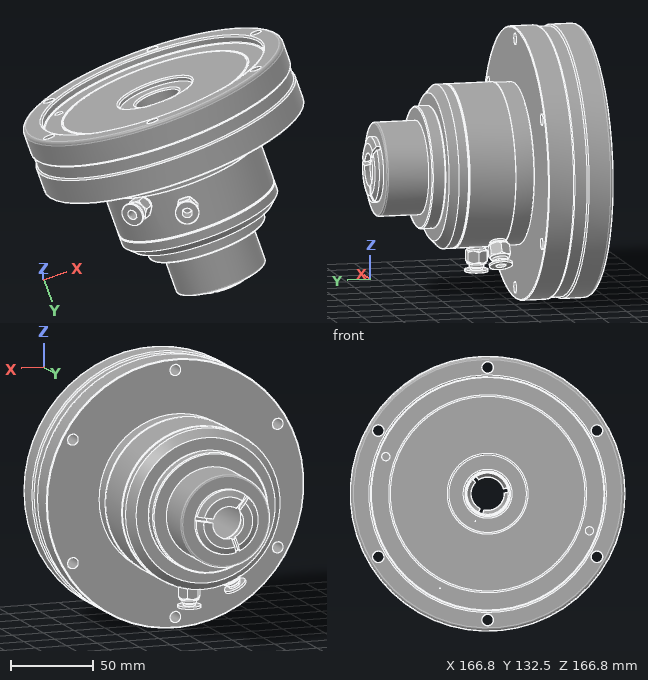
import cadquery as cq
import math


flange_r = 83.4
flange_rear_y = 40.9
flange_front_fillet = 2.0
flange_rear_chamfer = 0.5
belt_depth = 1.0
belt_front_y = 15.5
belt_rear_y = 25.2
recess_r = 71.0
recess_depth = 5.0
recess_floor_chamfer = 0.5
edge_chamfer = 1.0
bolt_hole_d = 6.8
bolt_circle_r = 76.5
bolt_count = 6
jack_hole_d = 5.0
jack_circle_r = 65.7
jack_hole_depth = 10.0
jack_hole_angles = (160, 340)

boss_r = 48.0
housing_front_y = 41.4
housing_rear_y = 93.4
collar_r = 37.4
collar_chamfer = 0.7
collar_rear_y = 102.0
neck_r = 28.7
neck_fillet = 0.8
neck_rear_y = 128.1
journal_r = collar_r - collar_chamfer

piston_r = 60.0
piston_gap = 1.0
piston_rear_y = 20.0
piston_recess_r = 23.5
piston_recess_depth = 3.3
counterbore_r = 27.7 / 2
counterbore_end_y = 120.1
bore_step_chamfer = 0.7
bore_r = 25.0 / 2
tube_r = 20.0
tip_end_y = 132.5
tip_bore_r = 10.0
tip_bore_taper = 4.0
tip_end_r = 15.8
tip_taper = 1.7
slot_width = 2.5
slot_angles = (10, 130, 250)

housing_r = 100.0 / 2
housing_front_r = 49.5
housing_step_y = 52.9
housing_chamfer = 5.0
seam_y = 82.0
seam_depth = 0.5

fitting_stem_d = 10.0
fitting_stem_depth = 6.7
fitting_places = ((240, 57.9), (270, 65.0))
hex_flats = 12.0
hex_turn = 30
shoulder_start = 1.2
hex_start = 2.2
hex_end = 9.7
shoulder_d = 11.8
shoulder_end = 10.8
shoulder_fillet = 0.8
ring_d = 9.0
ring_end = 13.2
fitting_neck_d = 7.5
disc_d = 14.2
disc_start = 14.2
disc_end = 15.5
hose_hole_d = 6.0
hose_hole_depth = 10.0


def revolve(profile):
    """Turn a closed outline of (radius, y) points about the Y axis."""
    return cq.Workplane("XY").polyline(profile).close().revolve(360, (0, 0, 0), (0, 1, 0))


def rod(radius, y_start, y_end, angle=0.0, distance=0.0):
    """Cylinder along Y whose axis is set off from the Y axis in polar coordinates."""
    x = distance * math.cos(math.radians(angle))
    z = distance * math.sin(math.radians(angle))
    axis = cq.Vector(0, 1, 0)
    return cq.Workplane(cq.Solid.makeCylinder(radius, y_end - y_start, cq.Vector(x, y_start, z), axis))


def place_on_housing(shape, angle, y):
    """Stand a shape built along Z on the housing surface at the given angle about Y."""
    upright = shape.translate((0, 0, housing_r))
    return upright.rotate((0, 0, 0), (0, 1, 0), 90 - angle).translate((0, y, 0))


def make_cylinder_body():
    body = revolve([
        (recess_r + edge_chamfer, 0),
        (flange_r, 0),
        (flange_r, belt_front_y),
        (flange_r - belt_depth, belt_front_y + belt_depth),
        (flange_r - belt_depth, belt_rear_y - belt_depth),
        (flange_r, belt_rear_y),
        (flange_r, flange_rear_y - flange_rear_chamfer),
        (flange_r - flange_rear_chamfer, flange_rear_y),
        (boss_r, flange_rear_y),
        (boss_r, housing_front_y),
        (journal_r, housing_front_y),
        (journal_r, housing_rear_y),
        (collar_r, housing_rear_y + collar_chamfer),
        (collar_r, collar_rear_y - collar_chamfer),
        (collar_r - collar_chamfer, collar_rear_y),
        (neck_r, collar_rear_y),
        (neck_r, neck_rear_y),
        (tube_r, neck_rear_y),
        (tube_r, piston_rear_y),
        (piston_r, piston_rear_y),
        (piston_r, recess_depth),
        (recess_r - recess_floor_chamfer, recess_depth),
        (recess_r, recess_depth - recess_floor_chamfer),
        (recess_r, edge_chamfer),
    ])
    body = body.edges("<Y").edges(cq.selectors.RadiusNthSelector(-1)).fillet(flange_front_fillet)
    body = body.faces(">Y").edges(cq.selectors.RadiusNthSelector(-1)).fillet(neck_fillet)
    for index in range(bolt_count):
        angle = 90 + index * 360 / bolt_count
        body = body.cut(rod(bolt_hole_d / 2, 0, flange_rear_y, angle, bolt_circle_r))
    for angle in jack_hole_angles:
        jack_hole = rod(jack_hole_d / 2, recess_depth, recess_depth + jack_hole_depth, angle, jack_circle_r)
        body = body.cut(jack_hole)
    return body


def make_piston():
    face_y = recess_depth
    floor_y = face_y + piston_recess_depth
    piston = revolve([
        (piston_recess_r + edge_chamfer, face_y),
        (piston_r - piston_gap, face_y),
        (piston_r - piston_gap, face_y + piston_gap),
        (piston_r, face_y + piston_gap),
        (piston_r, piston_rear_y),
        (tube_r, piston_rear_y),
        (tube_r, tip_end_y - tip_taper),
        (tip_end_r, tip_end_y),
        (tip_bore_r, tip_end_y),
        (bore_r, tip_end_y - tip_bore_taper),
        (bore_r, counterbore_end_y + bore_step_chamfer),
        (bore_r + bore_step_chamfer, counterbore_end_y),
        (counterbore_r, counterbore_end_y),
        (counterbore_r, floor_y + edge_chamfer),
        (counterbore_r + edge_chamfer, floor_y),
        (piston_recess_r, floor_y),
        (piston_recess_r, face_y + edge_chamfer),
    ])
    slot_height = tip_end_y - neck_rear_y
    slot = cq.Workplane("XY").box(tube_r * 2, slot_height, slot_width, centered=(False, False, True))
    slot = slot.translate((0, neck_rear_y, 0))
    for angle in slot_angles:
        piston = piston.cut(slot.rotate((0, 0, 0), (0, 1, 0), -angle))
    return piston


def make_housing():
    housing = revolve([
        (journal_r, housing_front_y),
        (housing_front_r, housing_front_y),
        (housing_front_r, housing_step_y),
        (housing_r, housing_step_y),
        (housing_r, seam_y - seam_depth),
        (housing_r - seam_depth, seam_y),
        (housing_r, seam_y + seam_depth),
        (housing_r, housing_rear_y - housing_chamfer),
        (housing_r - housing_chamfer, housing_rear_y),
        (journal_r, housing_rear_y),
    ])
    port_height = fitting_stem_depth + shoulder_start
    port = cq.Workplane("XY").workplane(offset=-fitting_stem_depth)
    port = port.circle(fitting_stem_d / 2).extrude(port_height)
    for angle, y in fitting_places:
        housing = housing.cut(place_on_housing(port, angle, y))
    return housing


def make_fitting():
    """Hose fitting along Z with z = 0 on the housing surface."""
    def disc(diameter, start, end):
        return cq.Workplane("XY").workplane(offset=start).circle(diameter / 2).extrude(end - start)

    hexagon = cq.Workplane("XY").workplane(offset=hex_start)
    hexagon = hexagon.polygon(6, hex_flats, circumscribed=True).extrude(hex_end - hex_start)
    hexagon = hexagon.rotate((0, 0, 0), (0, 0, 1), hex_turn)
    hex_corner_r = hex_flats / math.sqrt(3)
    crown = disc(2 * hex_corner_r, hex_start, hex_end).edges().chamfer(hex_corner_r - hex_flats / 2)
    fitting = hexagon.intersect(crown)
    fitting = fitting.union(disc(fitting_stem_d, -fitting_stem_depth, shoulder_start))
    shoulders = disc(shoulder_d, shoulder_start, shoulder_end).faces("<Z or >Z").edges().fillet(shoulder_fillet)
    fitting = fitting.union(shoulders)
    ring = disc(ring_d, shoulder_end, ring_end).faces(">Z").edges().chamfer((ring_d - fitting_neck_d) / 2)
    fitting = fitting.union(ring)
    fitting = fitting.union(disc(fitting_neck_d, ring_end, disc_start))
    fitting = fitting.union(disc(disc_d, disc_start, disc_end))
    return fitting.cut(disc(hose_hole_d, disc_end - hose_hole_depth, disc_end))


cylinder_body = make_cylinder_body()
piston = make_piston()
housing = make_housing()
fitting = make_fitting()
fittings = [place_on_housing(fitting, angle, y) for angle, y in fitting_places]

result = cq.Compound.makeCompound([
    cylinder_body.val(),
    piston.val(),
    housing.val(),
    *[placed.val() for placed in fittings],
])